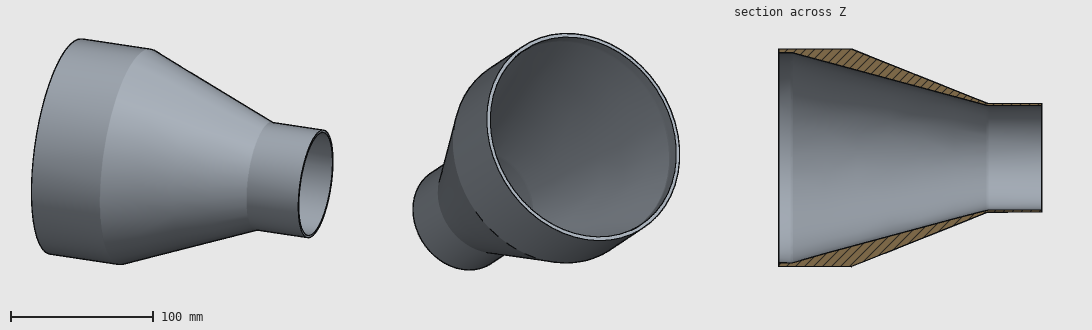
import cadquery as cq

length = 184.2
large_diameter = 152.5
small_diameter = 76.2
large_bore_diameter = 147.0
small_bore_diameter = 73.0

large_collar_length = 50.8
small_collar_length = 38.0
large_bore_depth = 9.4

outer_blend_radius = 1.0
bore_blend_radius = 6.0

taper_end = length - small_collar_length


def blended_reducer(large_end_diameter, small_end_diameter, taper_start, blend_radius):
    """Solid of a cylinder, a cone and a smaller cylinder, rounded at both junctions."""
    large_radius = large_end_diameter / 2
    small_radius = small_end_diameter / 2
    profile = (
        cq.Workplane("XY")
        .lineTo(0, large_radius)
        .lineTo(taper_start, large_radius)
        .lineTo(taper_end, small_radius)
        .lineTo(length, small_radius)
        .lineTo(length, 0)
        .close()
    )
    solid = profile.revolve(360, (0, 0, 0), (1, 0, 0))
    junctions = solid.edges("%CIRCLE").edges("not(<X or >X)")
    return junctions.fillet(blend_radius)


outer_body = blended_reducer(
    large_diameter, small_diameter, large_collar_length, outer_blend_radius
)
bore = blended_reducer(
    large_bore_diameter, small_bore_diameter, large_bore_depth, bore_blend_radius
)

result = outer_body.cut(bore)